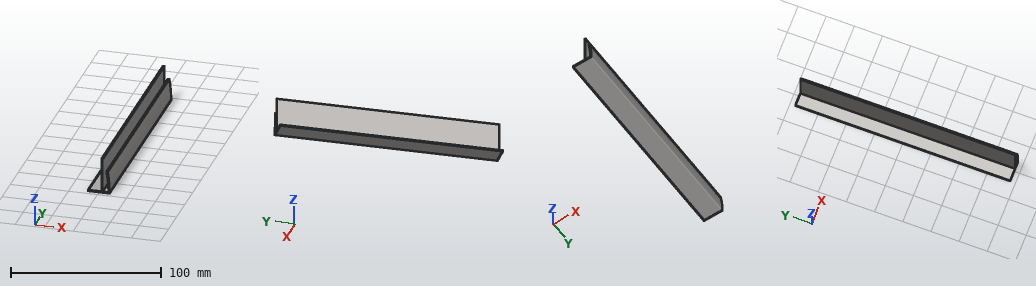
import cadquery as cq
import math

length = 152.4
base_width = 15.0
height = 24.5
wall = 0.9
stem_left = 9.1
lip_wall = 1.0
lip_height = 15.7
lip_radius = 79.2
corner_radius = 0.8

lip_center_x = base_width - lip_radius
lip_angle = math.asin((lip_height - wall) / lip_radius)


def lip_point(radius, angle):
    """Point on an arc about the lip's center, which is level with the base top."""
    return lip_center_x + radius * math.cos(angle), wall + radius * math.sin(angle)


def extrude_section(section):
    """Extrude an XZ section along the whole part, centered on Y = 0."""
    return section.extrude(length / 2, both=True)


def make_base():
    base = extrude_section(cq.Workplane("XZ").rect(base_width, wall, centered=False))
    return base.edges("|Y and >X and <Z").fillet(corner_radius)


def make_stem():
    section = cq.Workplane("XZ").moveTo(stem_left, 0).rect(wall, height, centered=False)
    return extrude_section(section)


def make_lip():
    """Curved lip of constant thickness, leaning toward the stem."""
    inner_radius = lip_radius - lip_wall
    section = (
        cq.Workplane("XZ")
        .moveTo(*lip_point(lip_radius, 0))
        .threePointArc(lip_point(lip_radius, lip_angle / 2), lip_point(lip_radius, lip_angle))
        .lineTo(*lip_point(inner_radius, lip_angle))
        .threePointArc(lip_point(inner_radius, lip_angle / 2), lip_point(inner_radius, 0))
        .close()
    )
    return extrude_section(section)


result = make_base().union(make_stem()).union(make_lip())